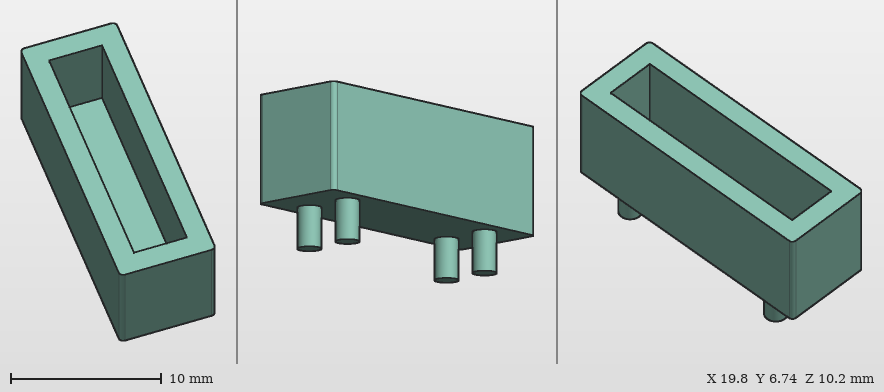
import cadquery as cq

housing_length = 19.81
housing_width = 6.74
total_height = 10.16
pin_length = 2.8
housing_height = total_height - pin_length
corner_radius = 0.32
wall = 1.5
floor_thickness = wall

pin_diameter = 1.6
pin_spacing_x = 13.5
pin_spacing_y = 3.4


def make_housing():
    """Box standing on Z = 0 with a rectangular pocket open at the top."""
    block = (
        cq.Workplane("XY")
        .box(housing_length, housing_width, housing_height, centered=(True, True, False))
        .edges("|Z")
        .fillet(corner_radius)
    )
    pocket = (
        cq.Workplane("XY")
        .workplane(offset=floor_thickness)
        .rect(housing_length - 2 * wall, housing_width - 2 * wall)
        .extrude(housing_height - floor_thickness)
    )
    return block.cut(pocket)


def make_pin(x, y):
    """Post hanging down from the underside of the housing."""
    return cq.Workplane("XY").center(x, y).circle(pin_diameter / 2).extrude(-pin_length)


housing = make_housing()

pins = []
for side_x in (-1, 1):
    for side_y in (-1, 1):
        pin = make_pin(side_x * pin_spacing_x / 2, side_y * pin_spacing_y / 2)
        pins.append(pin.val())

result = cq.Compound.makeCompound([housing.val(), *pins])